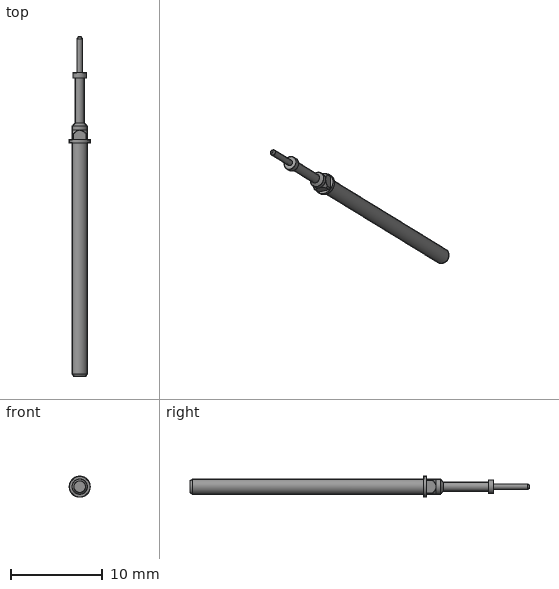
import cadquery as cq

total_length = 37.0

barrel_diameter = 1.65
barrel_radius = barrel_diameter / 2
barrel_length = 25.45
barrel_end_radius = 0.63
barrel_chamfer_length = 0.3

flange_radius = 1.15
flange_thickness = 0.35

square_width = barrel_diameter
square_corner_radius = 1.07
square_length = 1.05
square_cone_length = 0.37

neck_radius = barrel_radius
neck_length = 0.45

shank_diameter = 1.0
shank_radius = shank_diameter / 2
neck_cone_length = neck_radius - shank_radius
shank_length = 4.9

collar_radius = 0.75
collar_thickness = 0.6

tip_radius = 0.315
tip_chamfer_length = 0.25
tip_end_radius = 0.15

flange_end = barrel_length + flange_thickness
square_end = flange_end + square_length
neck_end = square_end + neck_length
shank_start = neck_end + neck_cone_length
shank_end = shank_start + shank_length
collar_end = shank_end + collar_thickness


def turned(profile):
    """Revolve (radius, y) points about the Y axis, closed along the axis."""
    points = [(0, profile[0][1])] + profile + [(0, profile[-1][1])]
    return cq.Workplane("XY").polyline(points).close().revolve(360, (0, 0, 0), (0, 1, 0))


def barrel_and_flange():
    return turned([
        (barrel_end_radius, 0),
        (barrel_radius, barrel_chamfer_length),
        (barrel_radius, barrel_length),
        (flange_radius, barrel_length),
        (flange_radius, flange_end),
    ])


def wrench_square():
    """Square section whose corners and free end are trimmed by a turned envelope."""
    block = cq.Workplane("XY").box(square_width, square_length, square_width)
    block = block.translate((0, flange_end + square_length / 2, 0))
    envelope = turned([
        (square_corner_radius, flange_end),
        (square_corner_radius, square_end - square_cone_length),
        (neck_radius, square_end),
    ])
    return block.intersect(envelope)


def plunger():
    """Neck with its conical shoulder, shank, collar and slender tip."""
    return turned([
        (neck_radius, square_end),
        (neck_radius, neck_end),
        (shank_radius, shank_start),
        (shank_radius, shank_end),
        (collar_radius, shank_end),
        (collar_radius, collar_end),
        (tip_radius, collar_end),
        (tip_radius, total_length - tip_chamfer_length),
        (tip_end_radius, total_length),
    ])


result = barrel_and_flange().union(wrench_square()).union(plunger())